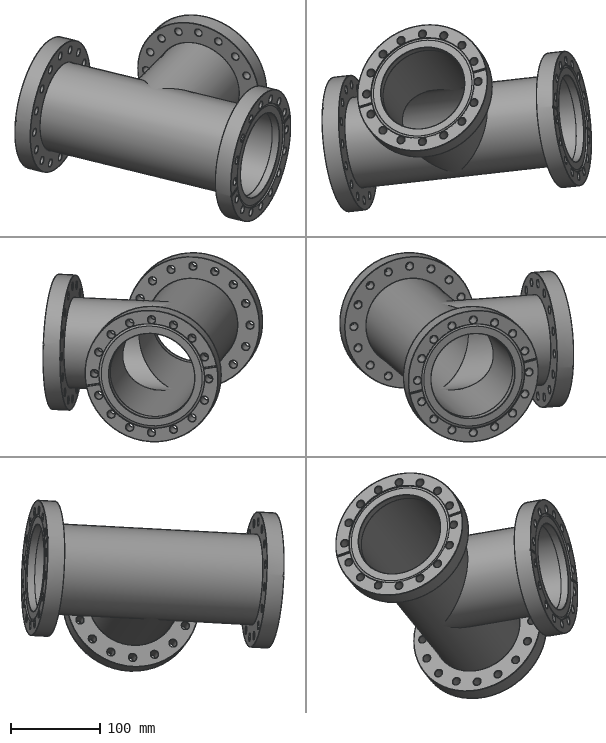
import cadquery as cq

RUN_LENGTH = 269.8
HALF_RUN = RUN_LENGTH / 2

TUBE_RADIUS = 50.7
BORE_RADIUS = 48.8
TUBE_SETBACK = 10.0
TUBE_REACH = HALF_RUN - TUBE_SETBACK

FLANGE_RADIUS = 75.8
FLANGE_THICKNESS = 19.7
FLANGE_BACK = HALF_RUN - FLANGE_THICKNESS
EDGE_BREAK = 0.4
BOLT_COUNT = 16
BOLT_CIRCLE_RADIUS = 65.0
BOLT_HOLE_RADIUS = 4.3

RECESS_RADIUS = 60.2
KNIFE_RADIUS = 57.5
RECESS_DEPTH = 2.2
KNIFE_TIP_DEPTH = 1.0
KNIFE_TIP = HALF_RUN - KNIFE_TIP_DEPTH

GROOVE_WIDTH = 1.5
GROOVE_DEPTH = 1.0
GROOVE_ANGLE = 180 / BOLT_COUNT


def cylinder_along(direction, radius, start, end):
    """Cylinder on an axis through the tee centre, between two distances from the centre."""
    axis = cq.Vector(*direction)
    return cq.Workplane(cq.Solid.makeCylinder(radius, end - start, axis * start, axis))


def make_tube():
    """Run and branch joined into one tee, bored through."""
    outside = cylinder_along((1, 0, 0), TUBE_RADIUS, -TUBE_REACH, TUBE_REACH).union(
        cylinder_along((0, 1, 0), TUBE_RADIUS, 0, TUBE_REACH)
    )
    bore = cylinder_along((1, 0, 0), BORE_RADIUS, -TUBE_REACH, TUBE_REACH).union(
        cylinder_along((0, 1, 0), BORE_RADIUS, 0, TUBE_REACH)
    )
    return outside.cut(bore)


def make_flange_ring():
    """Ring on the +X axis, revolved from its half section, with a knife edge in its sealing face."""
    return (
        cq.Workplane("XY")
        .moveTo(FLANGE_BACK + EDGE_BREAK, TUBE_RADIUS)
        .lineTo(FLANGE_BACK, TUBE_RADIUS + EDGE_BREAK)
        .lineTo(FLANGE_BACK, FLANGE_RADIUS - EDGE_BREAK)
        .lineTo(FLANGE_BACK + EDGE_BREAK, FLANGE_RADIUS)
        .lineTo(HALF_RUN - EDGE_BREAK, FLANGE_RADIUS)
        .lineTo(HALF_RUN, FLANGE_RADIUS - EDGE_BREAK)
        .lineTo(HALF_RUN, RECESS_RADIUS)
        .lineTo(HALF_RUN - RECESS_DEPTH, RECESS_RADIUS)
        .lineTo(KNIFE_TIP, KNIFE_RADIUS)
        .lineTo(KNIFE_TIP, BORE_RADIUS + EDGE_BREAK)
        .lineTo(KNIFE_TIP - EDGE_BREAK, BORE_RADIUS)
        .lineTo(TUBE_REACH, BORE_RADIUS)
        .lineTo(TUBE_REACH, TUBE_RADIUS)
        .close()
        .revolve(360, (0, 0, 0), (1, 0, 0))
    )


def make_bolt_hole():
    """Cutter for one bolt hole, revolved about its axis, flared at both faces to break the edges."""
    return (
        cq.Workplane("XY")
        .moveTo(FLANGE_BACK, 0)
        .lineTo(FLANGE_BACK, BOLT_HOLE_RADIUS + EDGE_BREAK)
        .lineTo(FLANGE_BACK + EDGE_BREAK, BOLT_HOLE_RADIUS)
        .lineTo(HALF_RUN - EDGE_BREAK, BOLT_HOLE_RADIUS)
        .lineTo(HALF_RUN, BOLT_HOLE_RADIUS + EDGE_BREAK)
        .lineTo(HALF_RUN, 0)
        .close()
        .revolve(360, (0, 0, 0), (1, 0, 0))
        .translate((0, BOLT_CIRCLE_RADIUS, 0))
    )


def make_leak_grooves():
    """Two opposite radial grooves, from the recess out through the rim."""
    bar = cq.Workplane("XY").box(2 * GROOVE_DEPTH, 2 * FLANGE_RADIUS, GROOVE_WIDTH)
    inner = cylinder_along((1, 0, 0), RECESS_RADIUS, -GROOVE_DEPTH, GROOVE_DEPTH)
    grooves = bar.cut(inner).rotate((0, 0, 0), (1, 0, 0), GROOVE_ANGLE)
    return grooves.translate((HALF_RUN, 0, 0))


def make_flange(turn):
    """Flange facing +X, turned about Z to face its own end of the tee."""
    flange = make_flange_ring().cut(make_leak_grooves())
    bolt_hole = make_bolt_hole()
    for index in range(BOLT_COUNT):
        flange = flange.cut(bolt_hole.rotate((0, 0, 0), (1, 0, 0), index * 360 / BOLT_COUNT))
    return flange.rotate((0, 0, 0), (0, 0, 1), turn)


tube = make_tube()
flanges = [make_flange(turn) for turn in (0, 90, 180)]

result = cq.Compound.makeCompound([tube.val(), *[flange.val() for flange in flanges]])